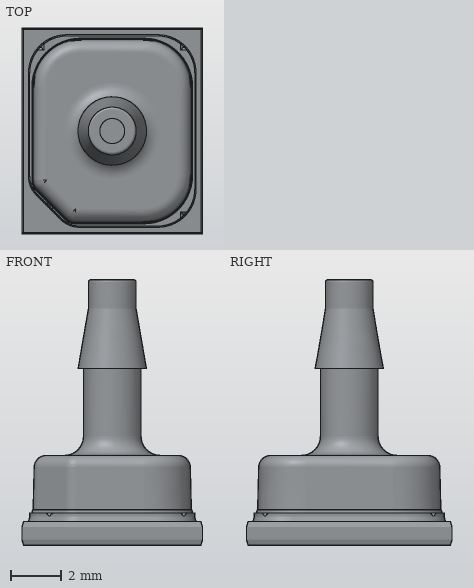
import cadquery as cq
import math

plate_x = 7.2
plate_y = 8.2
plate_height = 0.95
plate_bevel_inset = 0.06
plate_bevel_height = 0.22

length_excess = plate_y - plate_x

flange_x = 6.58
flange_corner_radius = 1.47
flange_cut_leg = 1.57
flange_cut_radius = 1.0
foot_spread = 0.05
foot_top = 1.14
flange_top = 1.29

notch_side = 0.26
notch_tip_side = 0.01
notch_depth = 0.13

body_x = 6.32
body_corner_radius = 1.91
body_cut_leg = 1.47
body_cut_radius = 0.55
body_draft = 1.4
body_top = 3.59
body_top_fillet = 0.5

collar_spread = 0.04
collar_slope = 12.0
collar_top = 1.44
collar_bevel = 0.03

stem_radius = 1.15
stem_root_fillet = 0.75
barb_bottom = 7.04
barb_radius = 1.37
tip_bottom = 9.44
tip_radius = 0.95
tip_edge_fillet = 0.11
total_height = 10.59
bore_radius = 0.5


def cover_outline(size_x, corner, cut_leg, cut_radius, bottom):
    """Rectangle at height `bottom` with corners of radius `corner` and one cut corner at -X -Y."""
    half_x = size_x / 2
    half_y = (size_x + length_excess) / 2
    tangent = cut_radius * math.tan(math.pi / 8)
    diagonal = tangent * math.sqrt(0.5)
    return (
        cq.Workplane("XY", origin=(0, 0, bottom))
        .moveTo(-half_x + cut_leg + tangent, -half_y)
        .lineTo(half_x - corner, -half_y)
        .radiusArc((half_x, -half_y + corner), -corner)
        .lineTo(half_x, half_y - corner)
        .radiusArc((half_x - corner, half_y), -corner)
        .lineTo(-half_x + corner, half_y)
        .radiusArc((-half_x, half_y - corner), -corner)
        .lineTo(-half_x, -half_y + cut_leg + tangent)
        .radiusArc((-half_x + diagonal, -half_y + cut_leg - diagonal), -cut_radius)
        .lineTo(-half_x + cut_leg - diagonal, -half_y + diagonal)
        .radiusArc((-half_x + cut_leg + tangent, -half_y), -cut_radius)
        .close()
    )


def grown_outline(size_x, corner_radius, cut_leg, cut_radius, growth, bottom):
    """Cover outline moved outwards by `growth` on all sides."""
    leg_growth = growth * (2 - math.sqrt(2))
    return cover_outline(
        size_x + 2 * growth,
        corner_radius + growth,
        cut_leg + leg_growth,
        cut_radius + growth,
        bottom,
    )


def make_plate():
    """Base plate with steep bevels around its upper and lower edges."""
    return (
        cq.Workplane("XY")
        .box(plate_x, plate_y, plate_height, centered=(True, True, False))
        .faces("<Z or >Z")
        .chamfer(plate_bevel_height, plate_bevel_inset)
    )


def make_flange():
    """Flange with its sloped foot and notched rim."""
    shape = (flange_x, flange_corner_radius, flange_cut_leg, flange_cut_radius)
    foot_height = foot_top - plate_height
    foot_slope = math.degrees(math.atan(foot_spread / foot_height))
    foot = grown_outline(*shape, foot_spread, plate_height).extrude(foot_height, taper=foot_slope)
    rim = cover_outline(*shape, foot_top).extrude(flange_top - foot_top)
    flange = foot.union(rim)
    for x, y in notch_centres():
        flange = flange.cut(make_notch(x, y))
    return flange


def notch_centres():
    """Middle of each round corner and of the cut corner, on the rim wall."""
    half_x = flange_x / 2
    half_y = (flange_x + length_excess) / 2
    round_inset = flange_corner_radius * (1 - math.sqrt(0.5))
    cut_inset = flange_cut_leg / 2
    return [
        (half_x - round_inset, half_y - round_inset),
        (-half_x + round_inset, half_y - round_inset),
        (half_x - round_inset, -half_y + round_inset),
        (-half_x + cut_inset, -half_y + cut_inset),
    ]


def make_notch(x, y):
    """Square pyramid with a tiny flat tip, pointing down, with its base on the flange top."""
    slope = math.degrees(math.atan((notch_side - notch_tip_side) / 2 / notch_depth))
    return (
        cq.Workplane("XY", origin=(x, y, flange_top))
        .rect(notch_side, notch_side)
        .extrude(-notch_depth, taper=slope)
    )


def make_body():
    """Drafted cover body with a rounded top and a bevelled, sloped collar at its bottom."""
    shape = (body_x, body_corner_radius, body_cut_leg, body_cut_radius)
    body = cover_outline(*shape, flange_top).extrude(body_top - flange_top, taper=body_draft)
    body = body.faces(">Z").edges().fillet(body_top_fillet)
    collar = grown_outline(*shape, collar_spread, flange_top).extrude(
        collar_top - flange_top, taper=collar_slope
    )
    collar = collar.faces(">Z").chamfer(collar_bevel)
    return body.union(collar)


def make_barb():
    """Hose barb: flared root, stem, conical barb and rounded tip."""
    root_radius = stem_radius + stem_root_fillet
    root_sag = stem_root_fillet * (1 - math.sqrt(0.5))
    tip_sag = tip_edge_fillet * (1 - math.sqrt(0.5))
    return (
        cq.Workplane("XZ")
        .moveTo(0, flange_top)
        .lineTo(root_radius, flange_top)
        .lineTo(root_radius, body_top)
        .threePointArc(
            (stem_radius + root_sag, body_top + root_sag),
            (stem_radius, body_top + stem_root_fillet),
        )
        .lineTo(stem_radius, barb_bottom)
        .lineTo(barb_radius, barb_bottom)
        .lineTo(tip_radius, tip_bottom)
        .lineTo(tip_radius, total_height - tip_edge_fillet)
        .threePointArc(
            (tip_radius - tip_sag, total_height - tip_sag),
            (tip_radius - tip_edge_fillet, total_height),
        )
        .lineTo(0, total_height)
        .close()
        .revolve(360, (0, 0, 0), (0, 1, 0))
    )


def make_bore():
    """Blind bore running from the tip down to the level of the body top."""
    bore_depth = total_height - body_top
    return cq.Workplane("XY", origin=(0, 0, body_top)).circle(bore_radius).extrude(bore_depth)


cover = make_flange().union(make_body()).union(make_barb())
result = make_plate().union(cover).cut(make_bore())